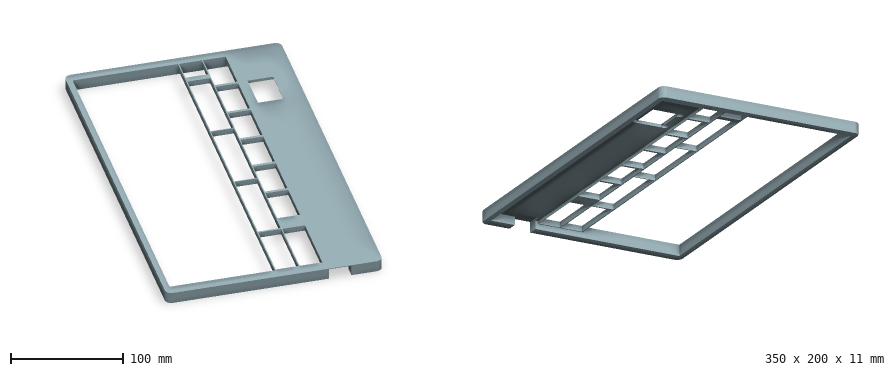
import cadquery as cq

length = 350.0
width = 200.0
height = 11.0
corner_radius = 6.0
top = height / 2
back = width / 2

plate_thickness = 2.8
grid_depth = 5.5
front_rim = 5.5
back_rim = 5.5
grid_rib = 1.0
back_rib = 0.52

inner_left = -166.0
inner_right = 165.0
inner_front = front_rim - back
opening_back = 2.8
key_height = 21.0
lower_row_front = opening_back + grid_rib
upper_row_front = lower_row_front + key_height + grid_rib
keys_back = upper_row_front + key_height

small_key_count = 6
small_key_width = 40.0
small_key_pitch = 42.7
corner_key_width = 22.0
wide_key_count = 3
wide_key_left = -137.5
wide_key_width = 79.5
end_key_left = 104.5
end_key_width = 59.0

window_left = -125.0
window_right = -89.5
window_front = 56.0
window_back = 79.5
window_skin = 0.42
relief_back = 85.8
relief_corner_radius = 3.5
relief_hole_radius = 3.0
relief_hole_y = 54.0
relief_hole_inset = 2.8

notch_skin = 0.65
notch_depth = 16.8
notch_front = 50.0
notch_back = 70.7


def block(left, right, front, rear, bottom, upper):
    """Box between the given faces."""
    corner = cq.Workplane("XY", origin=(left, front, bottom))
    return corner.box(right - left, rear - front, upper - bottom, centered=False)


def through(left, right, front, rear):
    """Box as tall as the case, for cutting right through."""
    return block(left, right, front, rear, -top, top)


def case():
    """Solid slab with rounded upright edges."""
    return cq.Workplane("XY").box(length, width, height).edges("|Z").fillet(corner_radius)


def underside_cavity():
    """Hollow below the key grid, deeper behind the keys where the plate is thin."""
    below_grid = block(inner_left, inner_right, inner_front, back - back_rim, -top, top - grid_depth)
    behind_keys = block(
        inner_left, inner_right, keys_back + back_rib, back - back_rim, -top, top - plate_thickness
    )
    return below_grid.union(behind_keys)


def key_openings():
    """Openings for two rows of keys."""
    lower_row_back = lower_row_front + key_height
    keys = through(inner_left, inner_left + corner_key_width, lower_row_front, lower_row_back)
    for i in range(small_key_count):
        left = inner_left + i * small_key_pitch
        keys = keys.union(through(left, left + small_key_width, upper_row_front, keys_back))
    for i in range(wide_key_count):
        left = wide_key_left + i * (wide_key_width + grid_rib)
        keys = keys.union(through(left, left + wide_key_width, lower_row_front, lower_row_back))
    for front in (lower_row_front, upper_row_front):
        keys = keys.union(through(end_key_left, end_key_left + end_key_width, front, front + key_height))
    return keys


def window_relief():
    """Pocket under the window, with a round hole at each front corner."""
    ceiling = top - window_skin
    relief = block(window_left, window_right, window_front, relief_back, -top, ceiling)
    relief = relief.edges("|Z and >Y").fillet(relief_corner_radius)
    for x in (window_left + relief_hole_inset, window_right - relief_hole_inset):
        hole = cq.Workplane("XY", origin=(x, relief_hole_y, -top)).circle(relief_hole_radius)
        relief = relief.union(hole.extrude(ceiling + top))
    return relief


def connector_notch():
    """Notch in the right-hand wall, open underneath and covered by a thin skin."""
    return block(length / 2 - notch_depth, length / 2, notch_front, notch_back, -top, top - notch_skin)


result = (
    case()
    .cut(underside_cavity())
    .cut(key_openings())
    .cut(through(inner_left, inner_right, inner_front, opening_back))
    .cut(window_relief())
    .cut(through(window_left, window_right, window_front, window_back))
    .cut(connector_notch())
)